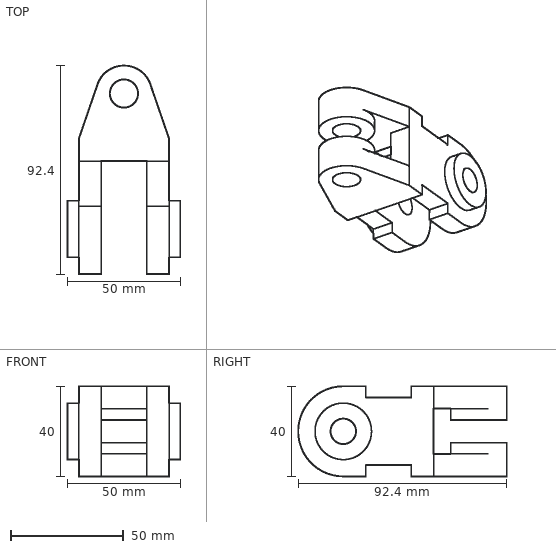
import cadquery as cq
import math

overall_length = 92.4
body_size = 40.0
pivot_spacing = 60.0
fork_boss_diameter = 25.0
fork_hole_diameter = 11.2
lug_hole_diameter = 12.4

half_body = body_size / 2
wall = body_size / 4
boss_height = wall / 2
notch_depth = wall / 2
lug_radius = overall_length - pivot_spacing - half_body
notch_start = wall
bridge_start = 3 * wall
bridge_end = 4 * wall


def fork_arm(side):
    """Round-ended arm with notched edges and an outward pivot boss."""
    arm = (
        cq.Workplane("YZ")
        .moveTo(0, half_body)
        .threePointArc((-half_body, 0), (0, -half_body))
        .lineTo(notch_start, -half_body)
        .lineTo(notch_start, -half_body + notch_depth)
        .lineTo(bridge_start, -half_body + notch_depth)
        .lineTo(bridge_start, -half_body)
        .lineTo(bridge_end, -half_body)
        .lineTo(bridge_end, half_body)
        .lineTo(bridge_start, half_body)
        .lineTo(bridge_start, half_body - notch_depth)
        .lineTo(notch_start, half_body - notch_depth)
        .lineTo(notch_start, half_body)
        .close()
        .extrude(side * wall)
        .translate((side * (half_body - wall), 0, 0))
    )
    boss = (
        cq.Workplane("YZ")
        .circle(fork_boss_diameter / 2)
        .extrude(side * boss_height)
        .translate((side * half_body, 0, 0))
    )
    return arm.union(boss)


def lug_plate(side):
    """Plate tapering tangentially to a round tip, with an inward boss."""
    corner_y = bridge_end - pivot_spacing
    corner_distance = math.hypot(half_body, corner_y)
    tangent_angle = math.atan2(corner_y, half_body) + math.acos(lug_radius / corner_distance)
    tangent_x = lug_radius * math.cos(tangent_angle)
    tangent_y = pivot_spacing + lug_radius * math.sin(tangent_angle)
    plate = (
        cq.Workplane("XY")
        .moveTo(-half_body, bridge_start)
        .lineTo(half_body, bridge_start)
        .lineTo(half_body, bridge_end)
        .lineTo(tangent_x, tangent_y)
        .threePointArc((0, pivot_spacing + lug_radius), (-tangent_x, tangent_y))
        .lineTo(-half_body, bridge_end)
        .close()
        .extrude(side * wall)
        .translate((0, 0, side * (half_body - wall)))
    )
    boss = (
        cq.Workplane("XY")
        .center(0, pivot_spacing)
        .circle(lug_radius)
        .extrude(-side * boss_height)
        .translate((0, 0, side * (half_body - wall)))
    )
    return plate.union(boss)


result = fork_arm(-1).union(fork_arm(1))
for plate_side in (-1, 1):
    result = result.union(lug_plate(plate_side))

fork_hole = (
    cq.Workplane("YZ")
    .circle(fork_hole_diameter / 2)
    .extrude(half_body + boss_height, both=True)
)
lug_hole = (
    cq.Workplane("XY")
    .center(0, pivot_spacing)
    .circle(lug_hole_diameter / 2)
    .extrude(half_body, both=True)
)
result = result.cut(fork_hole).cut(lug_hole)